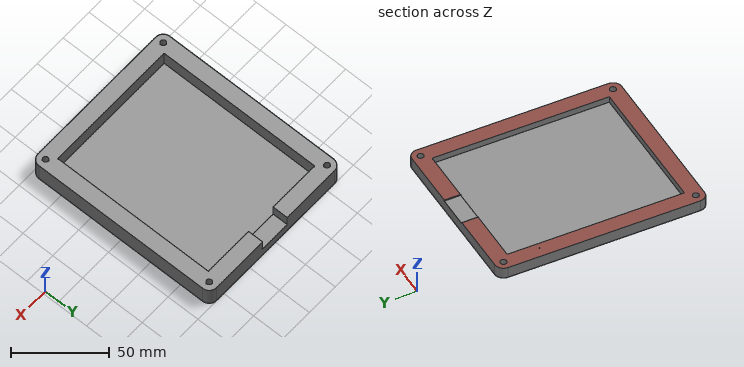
import cadquery as cq

width = 101.0
length = 119.9
height = 13.0
corner_radius = 5.0

wall = 9.5
floor_thickness = 3.0
pocket_width = width - 2 * wall
pocket_length = length - 2 * wall
pocket_depth = height - floor_thickness

notch_width = 19.0
notch_depth = 7.0
notch_offset = 0.5

hole_diameter = 3.4
hole_spacing_x = width - 2 * corner_radius
hole_spacing_y = length - 2 * corner_radius


def make_body():
    """Solid plate with rounded vertical corners, standing on Z = 0."""
    plate = cq.Workplane("XY").box(width, length, height, centered=(True, True, False))
    return plate.edges("|Z").fillet(corner_radius)


def make_pocket():
    """Rectangular volume removed from the inside of the tray."""
    plane = cq.Workplane("XY").workplane(offset=floor_thickness)
    return plane.rect(pocket_width, pocket_length).extrude(pocket_depth)


def make_notch():
    """Block that opens the top of the +Y wall into the pocket."""
    plane = cq.Workplane("XY").workplane(offset=height - notch_depth)
    wall_center_y = (length - wall) / 2
    return plane.center(notch_offset, wall_center_y).rect(notch_width, wall).extrude(notch_depth)


def make_corner_holes():
    """Four pins that cut the corner holes through the full height."""
    centers = cq.Workplane("XY").rect(hole_spacing_x, hole_spacing_y, forConstruction=True).vertices()
    return centers.circle(hole_diameter / 2).extrude(height)


result = make_body().cut(make_pocket()).cut(make_notch()).cut(make_corner_holes())